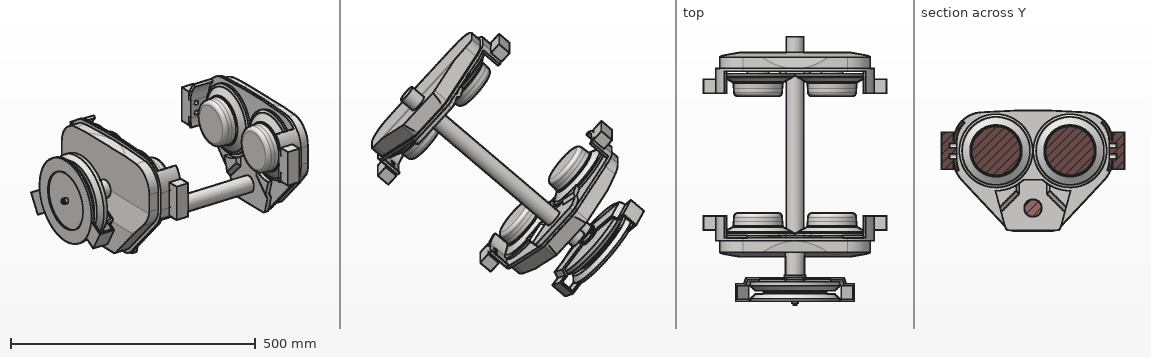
import cadquery as cq
import math


select_margin = 1.0

axle_radius = 18.0
axle_far_end = 240.4
axle_near_end = -229.0

gearbox_mid_y = -0.7

flange_half_width = 162.0
flange_top = 200.0
flange_bottom = -47.2
flange_diagonal_reach = 92.0
diagonal_run = 0.938
top_arc_radius = 1400.0
side_radius = 59.5
foot_radius = 29.0
casing_inset = 8.0
flange_inner_y = 170.0
flange_thickness = 6.0
casing_inner_y = flange_inner_y + flange_thickness
casing_upper_y = 199.2
casing_lower_y = 209.0
bevel_top = 92.6
bevel_bottom = 33.2
top_draft_drop = 1.6
bottom_draft_rise = 2.5

arm_thickness = 6.5
arm_end_y = 125.2
shoulder_center_z = 137.0
waist_center_z = 99.3
arm_top_angle = 45.0
arm_bottom_angle = -24.0
bumper_width = 25.0
bumper_depth = 29.0
bumper_height = 76.0
bumper_hole_diameter = 9.0
bumper_hole_spacing = 22.0
bumper_hole_depth = 15.0

wheel_offset_x = 75.6
wheel_center_z = 117.0
wheel_radius = 75.0
wheel_back_y = 165.4
wheel_front_y = 118.9
wheel_edge_radius = 9.0
wheel_rim_y = 160.5
wheel_rim_radius = 69.5
wheel_bevel_y = 158.0
wheel_cone_radius = 68.5
wheel_cone_y = 157.0
tread_foot_radius = 53.0
tread_foot_y = 148.5
tread_root_radius = 50.9
tread_root_y = 145.7
tread_mid_radius = 50.0
tread_mid_y = 135.8
tread_front_radius = 49.0
wheel_boss_radius = 22.0

guard_thickness = 9.5
guard_step = 6.5
guard_bottom = -45.6
guard_foot_half_width = 55.0
guard_wing_half_width = 78.0
guard_wing_top = 40.0
guard_middle_top = 58.4
guard_corner_radius = 8.0
wheel_clearance_radius = wheel_radius + 6.5
middle_half_width = 28.0
middle_diagonal_reach = 57.0
step_side_run = 6.5
step_diagonal_run = 13.0

drive_z = 90.0
chain_wheel_radius = 91.5
chain_wheel_rim_radius = 81.0
chain_wheel_core_radius = 65.0
chain_wheel_back_y = -260.3
chain_wheel_front_y = -300.3
back_rim_width = 8.7
front_rim_width = 5.1
groove_mid_y = -282.1
chain_gap = 6.2
core_groove_half_width = 0.8
core_groove_depth = 1.0
recess_radius = 62.0
recess_depth = 3.0
screw_radius = 6.2
screw_tip_radius = 4.0
screw_step_y = -304.5
screw_end_y = -307.9

sleeve_radius = 19.5
collar_radius = 22.4
collar_chamfer = 1.5
collar_back_y = -246.8
guide_back_y = -251.8
guide_sheet = 4.0
guide_step_y = -264.4
guide_front_y = -300.3
guide_knee_u = 94.7
guide_channel_u = 100.0
guide_outer_u = 119.4
guide_lip_u = 86.0
guide_arm_low = -11.7
guide_arm_high = 36.0
guide_arm_angle = 30.0
guide_top = 122.0


def plate(points, y_start, y_end):
    """Prism on a closed list of (x, z) points between two y values."""
    prism = cq.Workplane("XZ", origin=(0, y_start, 0)).polyline(points).close()
    return prism.extrude(-(y_end - y_start))


def cylinder(x, z, radius, y_start, y_end):
    disc = cq.Workplane("XZ", origin=(x, y_start, z)).circle(radius)
    return disc.extrude(-(y_end - y_start))


def turned(profile, x, z):
    """Revolve a closed (radius, y) profile about the line through (x, z) parallel to Y."""
    half = cq.Workplane("XY").polyline(profile).close()
    return half.revolve(360, (0, 0, 0), (0, 1, 0)).translate((x, 0, z))


def casing_prism(inset, y_start, y_end):
    """Rounded gearbox outline, shrunk evenly by inset, between two y values."""
    half_width = flange_half_width - inset
    top = flange_top - inset
    bottom = flange_bottom + inset
    reach = flange_diagonal_reach - inset * math.hypot(1, diagonal_run)
    arc_drop = half_width ** 2 / (2 * top_arc_radius)
    foot_x = reach + diagonal_run * bottom
    waist_z = (half_width - reach) / diagonal_run
    outline = (
        cq.Workplane("XZ", origin=(0, y_start, 0))
        .moveTo(-half_width, top - arc_drop)
        .threePointArc((0, top), (half_width, top - arc_drop))
        .lineTo(half_width, waist_z)
        .lineTo(foot_x, bottom)
        .lineTo(-foot_x, bottom)
        .lineTo(-half_width, waist_z)
        .close()
    )
    prism = outline.extrude(-(y_end - y_start))
    corners = (
        (top - arc_drop, side_radius),
        (waist_z, side_radius),
        (bottom, foot_radius),
    )
    for corner_z, radius in corners:
        around = cq.selectors.BoxSelector(
            (-half_width - select_margin, y_start - select_margin, corner_z - select_margin),
            (half_width + select_margin, y_end + select_margin, corner_z + select_margin),
        )
        prism = prism.edges("|Y").edges(around).fillet(radius - inset)
    return prism


def make_casing():
    casing = casing_prism(casing_inset, casing_inner_y, casing_lower_y)
    top = flange_top - casing_inset
    bottom = flange_bottom + casing_inset
    side_profile = [
        (casing_inner_y, bottom),
        (casing_inner_y, top),
        (casing_upper_y, top - top_draft_drop),
        (casing_upper_y, bevel_top),
        (casing_lower_y, bevel_bottom),
        (casing_lower_y, bottom + bottom_draft_rise),
    ]
    envelope = cq.Workplane("YZ").polyline(side_profile).close()
    envelope = envelope.extrude(flange_half_width, both=True)
    return casing.intersect(envelope)


def make_bumper_arms():
    """Two curved arms that continue the flange edge, each with a bumper block."""
    ring = casing_prism(0, arm_end_y, flange_inner_y)
    ring = ring.cut(casing_prism(arm_thickness, arm_end_y, flange_inner_y))
    arms = None
    for side in (-1, 1):
        arc_center_x = side * (flange_half_width - side_radius)
        sector = [(arc_center_x, waist_center_z), (arc_center_x, shoulder_center_z)]
        ends = ((shoulder_center_z, arm_top_angle), (waist_center_z, arm_bottom_angle))
        for center_z, degrees in ends:
            angle = math.radians(degrees)
            span_x = side * flange_half_width * math.cos(angle)
            sector.append((arc_center_x + span_x, center_z + flange_half_width * math.sin(angle)))
        arm = ring.intersect(plate(sector, arm_end_y, flange_inner_y))
        arms = arm if arms is None else arms.union(arm)
    bumper_y = arm_end_y + bumper_depth / 2
    inner_face = flange_half_width - arm_thickness
    for side in (-1, 1):
        block = cq.Workplane("XY").box(bumper_width, bumper_depth, bumper_height)
        block_x = side * (flange_half_width + bumper_width / 2)
        arms = arms.union(block.translate((block_x, bumper_y, wheel_center_z)))
        for level in (-1, 1):
            hole_z = wheel_center_z + level * bumper_hole_spacing / 2
            hole = cq.Workplane("YZ", origin=(side * inner_face, bumper_y, hole_z))
            hole = hole.circle(bumper_hole_diameter / 2).extrude(side * bumper_hole_depth)
            arms = arms.cut(hole)
    return arms


def make_track_wheel(x):
    profile = [
        (0, wheel_back_y),
        (wheel_radius, wheel_back_y),
        (wheel_radius, wheel_rim_y),
        (wheel_rim_radius, wheel_bevel_y),
        (wheel_cone_radius, wheel_cone_y),
        (tread_foot_radius, tread_foot_y),
        (tread_root_radius, tread_root_y),
        (tread_mid_radius, tread_mid_y),
        (tread_front_radius, wheel_front_y),
        (0, wheel_front_y),
    ]
    wheel = turned(profile, x, wheel_center_z)
    wheel = wheel.faces("<Y").edges().fillet(wheel_edge_radius)
    return wheel.union(cylinder(x, wheel_center_z, wheel_boss_radius, wheel_back_y, flange_inner_y))


def guard_middle(y_narrow, y_wide):
    """Middle panel region, widening from y_narrow to y_wide to leave the sloped step."""
    top = flange_top
    bottom = guard_bottom - guard_step

    def outline(y, side_run, diagonal_run_x):
        half = middle_half_width + side_run
        reach = middle_diagonal_reach + diagonal_run_x
        points = [
            (half, top),
            (half, reach - half),
            (reach - bottom, bottom),
            (bottom - reach, bottom),
            (-half, reach - half),
            (-half, top),
        ]
        return cq.Wire.makePolygon([cq.Vector(x, y, z) for x, z in points], close=True)

    wires = [outline(y_narrow, 0, 0), outline(y_wide, step_side_run, step_diagonal_run)]
    return cq.Workplane(obj=cq.Solid.makeLoft(wires, True))


def make_guard():
    """Dished plate: the middle lies on the flange, the two wings stand off it."""
    middle_front = flange_inner_y - guard_thickness
    wing_front = middle_front - guard_step
    wing_back = flange_inner_y - guard_step
    outline = [
        (guard_foot_half_width, guard_bottom),
        (guard_wing_half_width, guard_wing_top),
        (guard_wing_half_width, guard_middle_top),
        (-guard_wing_half_width, guard_middle_top),
        (-guard_wing_half_width, guard_wing_top),
        (-guard_foot_half_width, guard_bottom),
    ]
    blank = plate(outline, wing_front, flange_inner_y)
    for side in (-1, 1):
        clearance = cylinder(
            side * wheel_offset_x, wheel_center_z, wheel_clearance_radius, wing_front, flange_inner_y
        )
        blank = blank.cut(clearance)
    foot = cq.selectors.BoxSelector(
        (-flange_half_width, 0, guard_bottom - select_margin),
        (flange_half_width, axle_far_end, guard_bottom + select_margin),
    )
    blank = blank.edges("|Y").edges(foot).fillet(guard_corner_radius)
    front_slab = cq.Workplane("XY").box(2 * flange_half_width, wing_back - wing_front, 2 * flange_top)
    front_slab = front_slab.translate((0, (wing_back + wing_front) / 2, 0))
    backing = guard_middle(flange_inner_y, wing_back)
    guard = blank.intersect(front_slab).union(blank.intersect(backing))
    return guard.cut(guard_middle(middle_front, wing_front))


def make_gearbox():
    """Far gearbox: casing, flange, bumper arms, guard and its two track wheels."""
    gearbox = casing_prism(0, flange_inner_y, casing_inner_y)
    gearbox = gearbox.union(make_casing())
    gearbox = gearbox.union(make_bumper_arms())
    gearbox = gearbox.union(make_guard())
    for side in (-1, 1):
        gearbox = gearbox.union(make_track_wheel(side * wheel_offset_x))
    return gearbox.cut(cylinder(0, 0, axle_radius, 0, axle_far_end))


def make_chain_wheel():
    """Chain wheel with a V groove, a recessed front, a rear boss and its shaft screw."""
    recess_y = chain_wheel_front_y + recess_depth
    boss_back_y = guide_back_y - guide_sheet
    profile = [
        (0, boss_back_y),
        (sleeve_radius, boss_back_y),
        (sleeve_radius, chain_wheel_back_y),
        (chain_wheel_radius, chain_wheel_back_y),
        (chain_wheel_radius, chain_wheel_back_y - back_rim_width),
        (chain_wheel_rim_radius, groove_mid_y + chain_gap / 2),
        (chain_wheel_core_radius, groove_mid_y + chain_gap / 2),
        (chain_wheel_core_radius, groove_mid_y + core_groove_half_width),
        (chain_wheel_core_radius - core_groove_depth, groove_mid_y),
        (chain_wheel_core_radius, groove_mid_y - core_groove_half_width),
        (chain_wheel_core_radius, groove_mid_y - chain_gap / 2),
        (chain_wheel_rim_radius, groove_mid_y - chain_gap / 2),
        (chain_wheel_radius, chain_wheel_front_y + front_rim_width),
        (chain_wheel_radius, chain_wheel_front_y),
        (recess_radius, chain_wheel_front_y),
        (recess_radius, recess_y),
        (screw_radius, recess_y),
        (screw_radius, screw_step_y),
        (screw_tip_radius, screw_step_y),
        (screw_tip_radius, screw_end_y),
        (0, screw_end_y),
    ]
    return turned(profile, 0, drive_z)


def make_guide_arm(side):
    """Bent sheet arm: flat at the hub, stepped forward, then a channel round the rim."""
    angle = math.radians(guide_arm_angle)
    start_u = -guide_arm_high * math.tan(angle)
    inner_back = guide_back_y - guide_sheet
    channel_back = guide_step_y - guide_sheet
    profile = [
        (start_u, guide_back_y),
        (guide_knee_u, guide_back_y),
        (guide_channel_u, guide_step_y),
        (guide_outer_u, guide_step_y),
        (guide_outer_u, guide_front_y),
        (guide_lip_u, guide_front_y),
        (guide_lip_u, guide_front_y + guide_sheet),
        (guide_outer_u - guide_sheet, guide_front_y + guide_sheet),
        (guide_outer_u - guide_sheet, channel_back),
        (guide_channel_u - guide_sheet, channel_back),
        (guide_knee_u - guide_sheet, inner_back),
        (start_u, inner_back),
    ]
    arm = cq.Workplane("XY", origin=(0, 0, guide_arm_low)).polyline(profile).close()
    arm = arm.extrude(guide_arm_high - guide_arm_low)
    arm = arm.rotate((0, 0, 0), (0, 1, 0), guide_arm_angle)
    half_space = cq.Workplane("XY").box(2 * guide_outer_u, 2 * axle_far_end, 2 * flange_top)
    half_space = half_space.translate((guide_outer_u, guide_back_y, 0))
    arm = arm.intersect(half_space)
    if side < 0:
        arm = arm.mirror("YZ")
    return arm.translate((0, 0, drive_z))


def make_chain_guide(gearbox, chain_wheel):
    """Guide with two arms, fixed to the gearbox by a sleeve round the drive shaft."""
    guide = make_guide_arm(-1).union(make_guide_arm(1))
    peak = cq.Workplane("XY", origin=(0, guide_back_y, guide_top))
    peak = peak.rect(2 * guide_outer_u, 4 * guide_sheet).extrude(flange_top - guide_top)
    guide = guide.cut(peak)
    hub_front_y = guide_back_y - guide_sheet
    collar = cylinder(0, drive_z, collar_radius, hub_front_y, collar_back_y)
    collar = collar.faces(">Y").chamfer(collar_chamfer)
    sleeve = cylinder(0, drive_z, sleeve_radius, hub_front_y, -casing_upper_y)
    return guide.union(collar).union(sleeve).cut(gearbox).cut(chain_wheel)


axle = cylinder(0, 0, axle_radius, axle_near_end, axle_far_end)
gearbox = make_gearbox()
far_gearbox = gearbox.translate((0, gearbox_mid_y, 0))
near_gearbox = gearbox.mirror("XZ").translate((0, gearbox_mid_y, 0))
chain_wheel = make_chain_wheel()
chain_guide = make_chain_guide(near_gearbox, chain_wheel)

result = cq.Compound.makeCompound([
    axle.val(),
    far_gearbox.val(),
    near_gearbox.val(),
    chain_wheel.val(),
    chain_guide.val(),
])